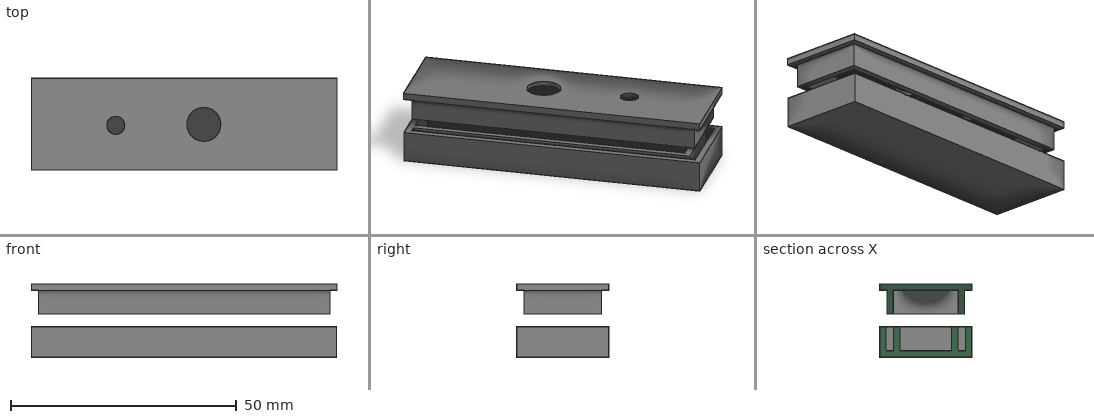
import cadquery as cq

length = 67.7
width = 20.4
total_height = 16.3
plate_thickness = 1.5

skirt_inset = 1.55
skirt_height = 5.2
skirt_wall = 1.5

small_hole_diameter = 4.0
small_hole_position = (-15.15, -0.3)
large_hole_diameter = 7.5
large_hole_position = (4.3, -0.1)

recess_diameter = 9.5
recess_depth = 0.5

tray_length = 67.55
tray_height = 6.85
floor_thickness = 1.5
outer_wall = 1.4
groove_width = 1.6
inner_wall = 1.5

left_end = -length / 2
plate_bottom = total_height - plate_thickness
cavity_height = tray_height - floor_thickness
cavity_right_end = left_end + tray_length - outer_wall


def block(left, right, inset, bottom, height):
    """Block from left to right in X, set in from both long sides by the inset."""
    block_width = width - 2 * inset
    return cq.Workplane("XY").box(right - left, block_width, height, centered=False).translate(
        (left, -block_width / 2, bottom)
    )


def inset_block(inset, bottom, height):
    """Block set in from the lid outline on all four sides."""
    return block(left_end + inset, -left_end - inset, inset, bottom, height)


def cavity_block(inset):
    """Block inside the tray, from the inset at the -X end to the +X end wall."""
    return block(left_end + inset, cavity_right_end, inset, floor_thickness, cavity_height)


def make_tray():
    """Open tray with a U-shaped inner wall; a groove separates it from the outer wall."""
    inner_wall_inset = outer_wall + groove_width
    body = block(left_end, left_end + tray_length, 0, 0, tray_height)
    inner_u = cavity_block(inner_wall_inset).cut(cavity_block(inner_wall_inset + inner_wall))
    return body.cut(cavity_block(outer_wall)).union(inner_u)


def round_cutter(diameter, position, depth):
    """Cylinder rising from the underside of the plate."""
    return (
        cq.Workplane("XY")
        .workplane(offset=plate_bottom)
        .center(*position)
        .circle(diameter / 2)
        .extrude(depth)
    )


def make_lid():
    """Flat plate with a hollow skirt below it and two round openings."""
    plate = (
        inset_block(0, plate_bottom, plate_thickness)
        .cut(round_cutter(small_hole_diameter, small_hole_position, plate_thickness))
        .cut(round_cutter(large_hole_diameter, large_hole_position, plate_thickness))
        .cut(round_cutter(recess_diameter, large_hole_position, recess_depth))
    )
    skirt_bottom = plate_bottom - skirt_height
    skirt = inset_block(skirt_inset, skirt_bottom, skirt_height).cut(
        inset_block(skirt_inset + skirt_wall, skirt_bottom, skirt_height)
    )
    return plate.union(skirt)


tray = make_tray()
lid = make_lid()
result = cq.Compound.makeCompound([tray.val(), lid.val()])